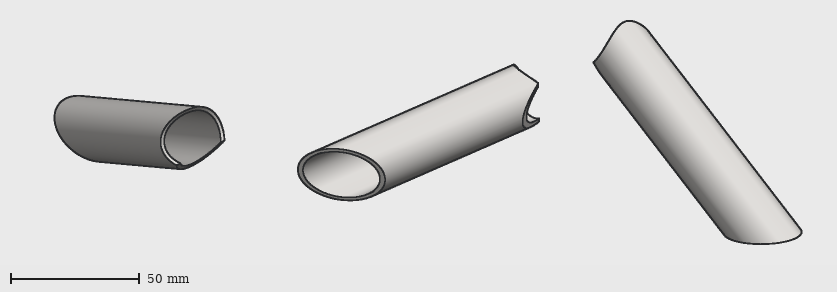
import cadquery as cq
import math

tube_radius = 12.5
wall = 1.5
heading = 16.6
elevation = 37.8
foot_centre = (16.6, 12.7, 2.6)

foot_tilt = 8.8

saddle_radius = 14.8
saddle_distance = 105.6
saddle_yaw = 4.2
saddle_tilt = 12.3

chin_distance = 105.5
chin_angle = 64.4

overrun = 37.0
cutter_size = 184.9


def direction(azimuth, rise):
    """Unit vector with the given azimuth and rise, both in degrees."""
    flat = math.cos(math.radians(rise))
    turn = math.radians(azimuth)
    return cq.Vector(flat * math.cos(turn), flat * math.sin(turn), math.sin(math.radians(rise)))


axis = direction(heading, elevation)
upward = direction(heading, elevation + 90)
sideways = direction(heading + 90, 0)
foot = cq.Vector(*foot_centre)


def make_tube():
    """Hollow tube running past both trimmed ends."""
    length = saddle_distance + 2 * overrun
    plane = cq.Plane(foot - axis * overrun, sideways, axis)
    return cq.Workplane(plane).circle(tube_radius).circle(tube_radius - wall).extrude(length)


def half_space(origin, normal):
    """Large block covering the side of a plane that its normal points to."""
    plane = cq.Plane(origin, sideways, normal)
    return cq.Workplane(plane).rect(cutter_size, cutter_size).extrude(cutter_size)


def saddle_cutter():
    """Cylinder across the tube that scoops out the head."""
    yaw = math.radians(saddle_yaw)
    tilt = math.radians(saddle_tilt)
    across = sideways * math.cos(yaw) - upward * math.sin(yaw)
    cutter_axis = across * math.cos(tilt) + axis * math.sin(tilt)
    centre = foot + axis * saddle_distance
    plane = cq.Plane(centre, upward, cutter_axis)
    return cq.Workplane(plane).circle(saddle_radius).extrude(cutter_size / 2, both=True)


def beyond_saddle():
    """Everything past the centre of the saddle cylinder."""
    return half_space(foot + axis * saddle_distance, axis)


def chin_cutter():
    """Block that trims the lower side of the head at a slant."""
    slant = math.radians(chin_angle)
    normal = axis * math.cos(slant) - upward * math.sin(slant)
    return half_space(foot + axis * chin_distance, normal)


foot_normal = direction(heading, 90 - foot_tilt)
result = (
    make_tube()
    .cut(half_space(foot, foot_normal * -1))
    .cut(saddle_cutter())
    .cut(beyond_saddle())
    .cut(chin_cutter())
)